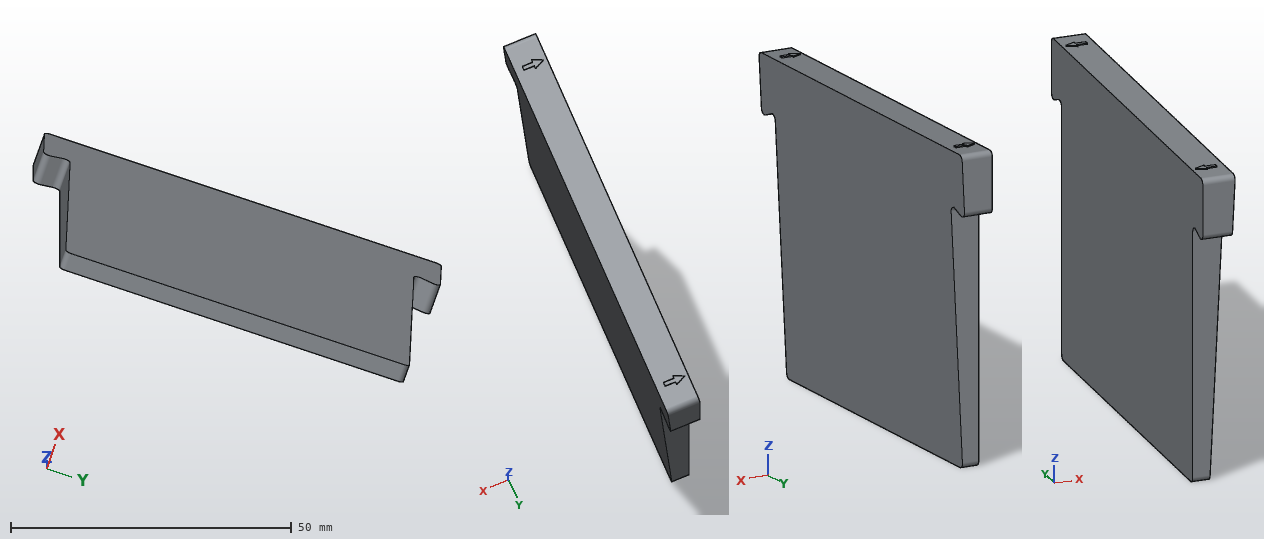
import cadquery as cq
import math

head_width = 75.0
plate_height = 60.0
top_thickness = 6.2
bottom_thickness = 3.3

shoulder_width = 5.0
hook_depth = 12.15
hook_angle = 21.0
corner_radius = 1.05

arrow_height = 0.2
arrow_end_distance = 5.4
arrow_tip_x = 0.7
arrow_neck_x = 2.6
arrow_tail_x = 4.65
arrow_head_half_width = 0.9
arrow_shaft_half_width = 0.4

half_head = head_width / 2
half_blade = half_head - shoulder_width
hook_tip_z = plate_height - hook_depth
hook_root_z = hook_tip_z + shoulder_width * math.tan(math.radians(hook_angle))


def make_plate():
    """T-shaped plate of even thickness with every outline corner rounded."""
    right_side = [
        (half_blade, 0),
        (half_blade, hook_root_z),
        (half_head, hook_tip_z),
        (half_head, plate_height),
    ]
    left_side = [(-y, z) for y, z in reversed(right_side)]
    plate = cq.Workplane("YZ").polyline(right_side + left_side).close().extrude(top_thickness)
    return plate.edges("|X").fillet(corner_radius)


def make_taper():
    """Wedge that thins the plate from the top towards the bottom."""
    profile = [
        (0, 0),
        (bottom_thickness, 0),
        (top_thickness, plate_height),
        (0, plate_height),
    ]
    return cq.Workplane("XZ").polyline(profile).close().extrude(half_head, both=True)


def make_arrow(center_y):
    """Raised arrow pointing towards the flat face at X = 0."""
    upper_half = [
        (arrow_neck_x, arrow_head_half_width),
        (arrow_neck_x, arrow_shaft_half_width),
        (arrow_tail_x, arrow_shaft_half_width),
    ]
    lower_half = [(x, -y) for x, y in reversed(upper_half)]
    outline = [(arrow_tip_x, 0)] + upper_half + lower_half
    top_plane = cq.Workplane("XY", origin=(0, center_y, plate_height))
    return top_plane.polyline(outline).close().extrude(arrow_height)


result = make_plate().intersect(make_taper())
for side in (-1, 1):
    result = result.union(make_arrow(side * (half_head - arrow_end_distance)))